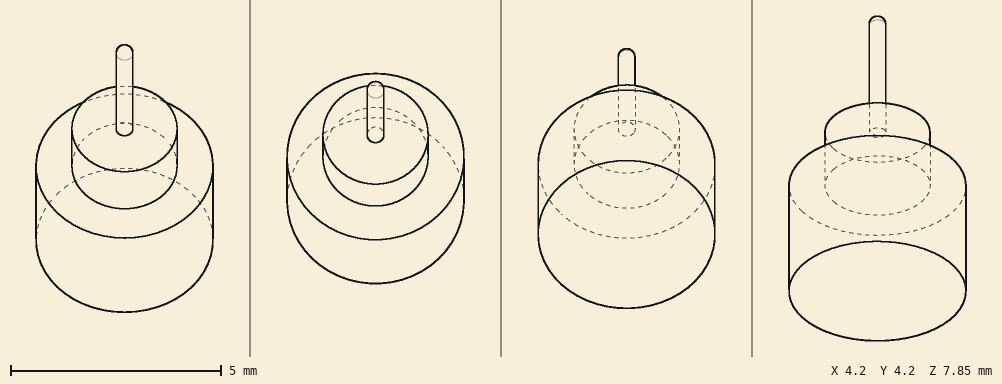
import cadquery as cq

total_height = 7.85
base_diameter = 4.2
neck_diameter = 2.5
pin_diameter = 0.4

base_height = 3.04
neck_height = 1.515
pin_length = total_height - base_height - neck_height
pin_tip_radius = pin_diameter / 2


def make_body():
    """Wide cylindrical base with a narrower concentric neck on top."""
    base = cq.Workplane("XY").circle(base_diameter / 2).extrude(base_height)
    return base.faces(">Z").workplane().circle(neck_diameter / 2).extrude(neck_height)


def make_pin():
    """Slender pin with a hemispherical tip, standing on the neck."""
    shank_length = pin_length - pin_tip_radius
    shank = (
        cq.Workplane("XY")
        .workplane(offset=base_height + neck_height)
        .circle(pin_diameter / 2)
        .extrude(shank_length)
    )
    tip_center_height = total_height - pin_tip_radius
    tip = cq.Workplane("XY").sphere(pin_tip_radius).translate((0, 0, tip_center_height))
    return shank.union(tip)


result = make_body().union(make_pin())